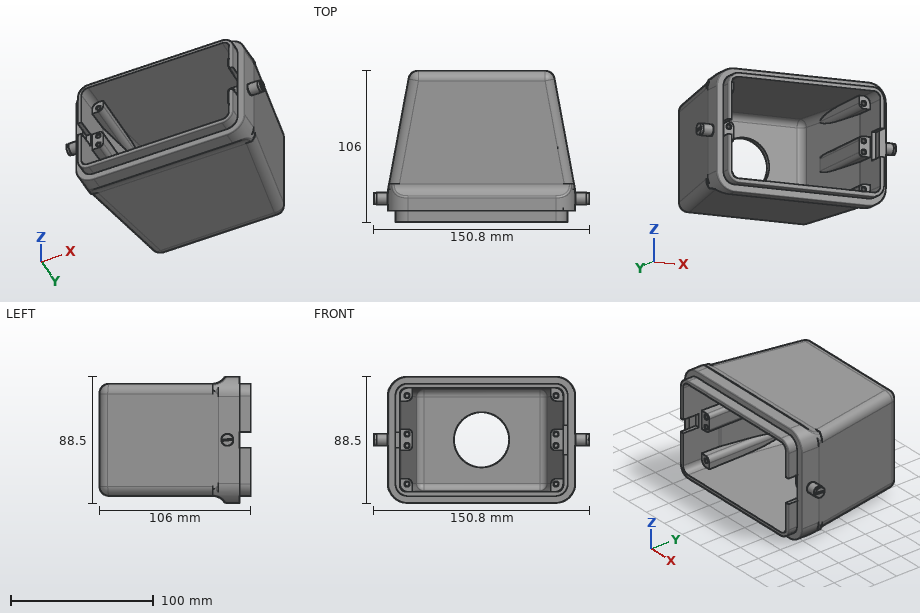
import cadquery as cq
import math


overall_width = 150.8
overall_depth = 106.0

flange_width = 131.0
flange_height = 88.5
flange_corner = 13.75
flange_side_depth = 15.1
flange_edge_round = 0.4

skirt_side_step = 5.2
skirt_top_step = 4.9
skirt_depth = 7.8
skirt_width = flange_width - 2 * skirt_side_step
skirt_height = flange_height - 2 * skirt_top_step
skirt_corner = flange_corner - skirt_side_step
skirt_edge_round = 0.3

body_depth = overall_depth - skirt_depth
body_height = skirt_height
body_taper = 10.5
body_round = 7.0

flange_rim_depth = 10.25
bevel_end_depth = 18.9
bevel_edge_round = 2.0

wall = 2.9
back_wall = 4.0
cavity_front_half_width = skirt_width / 2 - wall
cavity_front_half_height = skirt_height / 2 - wall
cavity_knee_depth = 24.5
cavity_knee_half_width = 56.6
cavity_back_half_width = 45.0
cavity_back_half_height = 35.4
cavity_knee_round = 12.0
cavity_round = 5.2
cable_hole_diameter = 38.5

post_front = 8.5
post_inner_x = 48.5
post_hole_x = 52.1
corner_post_inner_z = 27.1
corner_post_round = 4.0
corner_hole_z = 30.9
center_post_half_height = 7.35
center_post_round = 3.0
center_hole_z = 4.0
screw_hole_diameter = 3.0
screw_hole_depth = 10.0
screw_countersink = 0.45

notch_floor = 6.0
narrow_notch_height = 10.8
wide_notch_height = 20.6

pin_depth = 8.6
pin_diameter = 8.6
pin_tip_length = 2.0
pin_neck_length = 0.5
pin_reduced_diameter = 8.2
pin_slot_width = 1.1
pin_slot_depth = 0.5
pin_slot_tilt = 6.0


def block(x_range, y_range, z_range):
    """Axis-aligned box between the given limits."""
    size = [end - start for start, end in (x_range, y_range, z_range)]
    corner = (x_range[0], y_range[0], z_range[0])
    return cq.Workplane("XY").box(*size, centered=False).translate(corner)


def rounded_prism(width, height, corner, start, end):
    """Rounded rectangle in XZ, extruded along Y from start to end."""
    prism = cq.Workplane("XZ", origin=(0, start, 0)).rect(width, height).extrude(start - end)
    return prism.edges("|Y").fillet(corner)


def both_halves(outline):
    """Close a list of (half size, y) points by mirroring it about zero."""
    return outline + [(-half, y) for half, y in reversed(outline)]


def plan_prism(outline, height):
    """Symmetric outline of (half width, y) points, extruded along Z."""
    return cq.Workplane("XY").polyline(both_halves(outline)).close().extrude(height / 2, both=True)


def side_prism(outline, width):
    """Symmetric outline of (half height, y) points, extruded along X."""
    points = [(y, half) for half, y in both_halves(outline)]
    return cq.Workplane("YZ").polyline(points).close().extrude(width / 2, both=True)


def outer_half_width(y):
    """Half width of the tapered hood at depth y."""
    return flange_width / 2 - (y - flange_side_depth) * math.tan(math.radians(body_taper))


def make_body():
    """Solid hood behind the flange with rounded long and back edges."""
    outline = [
        (outer_half_width(flange_side_depth), flange_side_depth),
        (outer_half_width(body_depth), body_depth),
    ]
    body = plan_prism(outline, body_height)
    back_and_long_edges = body.edges(cq.selectors.BoxSelector(
        (-flange_width, flange_side_depth + 1, -flange_height),
        (flange_width, body_depth + 1, flange_height),
    ))
    return back_and_long_edges.fillet(body_round)


def make_flange():
    """Flange whose long rims sweep in a concave arc onto the top and bottom of the hood."""
    half_rim = flange_height / 2
    half_body = body_height / 2
    rise = half_rim - half_body
    run = bevel_end_depth - flange_rim_depth
    arc_radius = (run**2 + rise**2) / (2 * rise)
    half_turn = math.asin(run / arc_radius) / 2
    arc_mid_y = bevel_end_depth - arc_radius * math.sin(half_turn)
    arc_mid_z = half_body + arc_radius * (1 - math.cos(half_turn))
    bevel_profile = (
        cq.Workplane("YZ")
        .moveTo(0, -half_rim)
        .lineTo(flange_rim_depth, -half_rim)
        .threePointArc((arc_mid_y, -arc_mid_z), (bevel_end_depth, -half_body))
        .lineTo(bevel_end_depth, half_body)
        .threePointArc((arc_mid_y, arc_mid_z), (flange_rim_depth, half_rim))
        .lineTo(0, half_rim)
        .close()
        .extrude(flange_width, both=True)
    )
    flange = rounded_prism(flange_width, flange_height, flange_corner, 0, bevel_end_depth)
    flange = flange.intersect(bevel_profile)
    straight_rims = cq.selectors.BoxSelector(
        (-1, flange_rim_depth - 1, -flange_height),
        (1, flange_rim_depth + 1, flange_height),
    )
    flange = flange.edges(straight_rims).fillet(bevel_edge_round)
    flange = flange.faces("<Y").edges().fillet(flange_edge_round)
    plan = [
        (flange_width / 2, 0),
        (flange_width / 2, flange_side_depth),
        (outer_half_width(bevel_end_depth), bevel_end_depth),
    ]
    return flange.intersect(plan_prism(plan, flange_height))


def make_skirt():
    """Rounded skirt, running back into the flange so the two merge."""
    skirt = rounded_prism(skirt_width, skirt_height, skirt_corner, -skirt_depth, flange_rim_depth)
    return skirt.faces("<Y").edges().fillet(skirt_edge_round)


def make_cavity():
    """Cavity open at the skirt, nearly straight to the knee and then following the taper."""
    back = body_depth - back_wall
    plan = [
        (cavity_front_half_width, -skirt_depth),
        (cavity_knee_half_width, cavity_knee_depth),
        (cavity_back_half_width, back),
    ]
    side = [
        (cavity_front_half_height, -skirt_depth),
        (cavity_back_half_height, back),
    ]
    cavity = plan_prism(plan, flange_height).intersect(side_prism(side, flange_width))
    cavity = cavity.edges("|Z exc (<Y or >Y)").fillet(cavity_knee_round)
    rounded_edges = cavity.edges("(not |Z) or >Y").edges("not <Y")
    return rounded_edges.fillet(cavity_round)


def make_posts(side):
    """Two corner posts and one center post on the +X (side = 1) or -X (side = -1) wall."""
    outer_x = flange_width / 2
    x_range = sorted((side * post_inner_x, side * outer_x))
    y_range = (post_front, body_depth)
    inner_edge = "<X" if side > 0 else ">X"
    posts = block(x_range, y_range, (-center_post_half_height, center_post_half_height))
    posts = posts.faces(inner_edge).edges("|Y").fillet(center_post_round)
    for end in (-1, 1):
        z_range = sorted((end * corner_post_inner_z, end * flange_height / 2))
        post = block(x_range, y_range, z_range)
        facing_edge = "<Z" if end > 0 else ">Z"
        post = post.faces(inner_edge).edges("|Y").edges(facing_edge).fillet(corner_post_round)
        posts = posts.union(post)
    return posts


def make_screw_holes(side):
    """Blind screw holes with a small countersink, one row along the posts of a side."""
    holes = cq.Workplane("XZ")
    radius = screw_hole_diameter / 2
    for z in (-corner_hole_z, -center_hole_z, center_hole_z, corner_hole_z):
        mouth = cq.Workplane("XZ", origin=(side * post_hole_x, post_front, z))
        bore = mouth.circle(radius).extrude(-screw_hole_depth)
        bore = bore.union(
            mouth.circle(radius + screw_countersink)
            .workplane(offset=-screw_countersink)
            .circle(radius)
            .loft()
        )
        holes = holes.add(bore)
    return holes.combine()


def make_notch(side, height):
    """Notch through the skirt wall and a little way into the wall behind the flange face."""
    x_range = sorted((side * post_hole_x, side * skirt_width / 2))
    return block(x_range, (-skirt_depth, notch_floor), (-height / 2, height / 2))


def make_pin(side):
    """Locking pin with a thin neck, a stepped-down tip and a shallow screwdriver slot."""
    flange_x = flange_width / 2
    root_x = flange_x - wall
    tip_x = overall_width / 2
    shank_start = flange_x + pin_neck_length
    shank_end = tip_x - pin_tip_length

    def section(x):
        return cq.Workplane("YZ", origin=(x, pin_depth, 0))

    core = section(root_x).circle(pin_reduced_diameter / 2).extrude(tip_x - root_x)
    shank = section(shank_start).circle(pin_diameter / 2).extrude(shank_end - shank_start)
    slot = (
        section(tip_x)
        .transformed(rotate=(0, 0, -pin_slot_tilt))
        .rect(2 * pin_diameter, pin_slot_width)
        .extrude(-pin_slot_depth)
    )
    pin = core.union(shank).cut(slot)
    return pin if side > 0 else pin.mirror("YZ")


def make_cable_hole():
    """Round cable entry through the middle of the back wall."""
    hole = cq.Workplane("XZ").circle(cable_hole_diameter / 2)
    return hole.extrude(-(body_depth + 1))


outer = make_body().union(make_flange()).union(make_skirt())
result = outer.cut(make_cavity())
for wall_side in (-1, 1):
    result = result.union(make_posts(wall_side).intersect(outer))
    result = result.cut(make_screw_holes(wall_side))
result = result.cut(make_cable_hole())
result = result.cut(make_notch(-1, narrow_notch_height))
result = result.cut(make_notch(1, wide_notch_height))
for pin_side in (-1, 1):
    result = result.union(make_pin(pin_side))